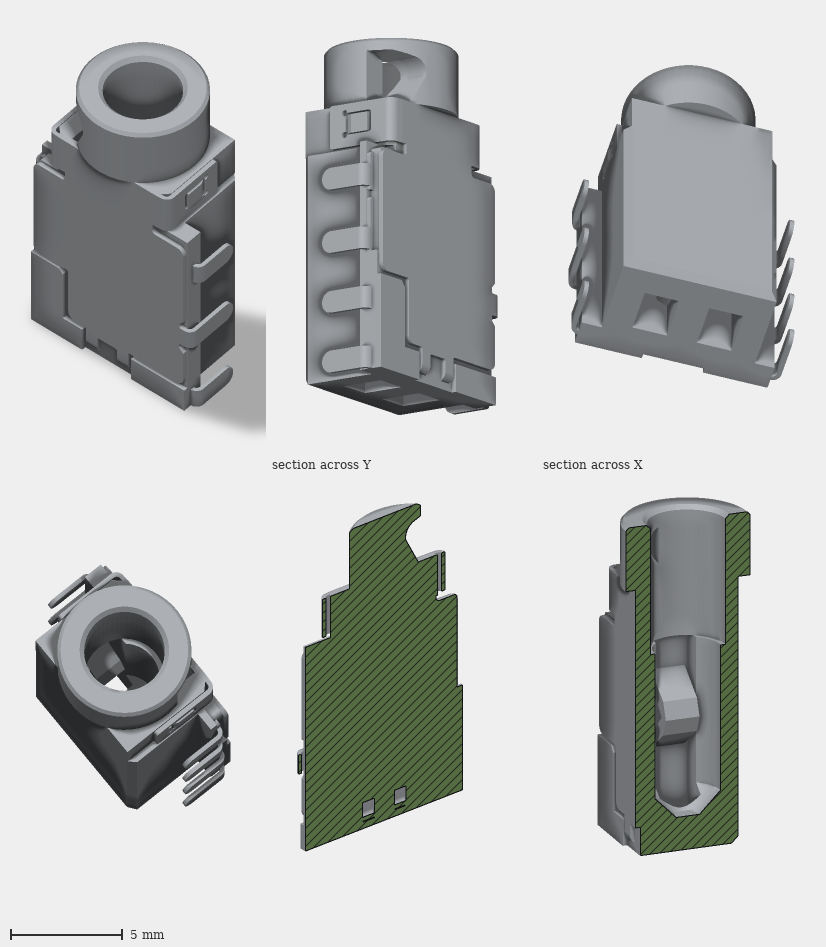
import cadquery as cq

TOTAL_HEIGHT = 15.65
COLLAR_RADIUS = 3.0
COLLAR_BASE = 12.62
COLLAR_CHAMFER = 0.15

HOUSING_X = 0.06
FRONT_Y = -2.53
BACK_Y = 2.42
SHOULDER_Z = 10.5
BODY_HALF = 3.56
NECK_HALF = 3.27
BODY_CHAMFER = 0.32
FLANGE_HALF = 4.475
FLANGE_BACK_Y = -1.4
FLANGE_LEFT = HOUSING_X - FLANGE_HALF
FLANGE_RIGHT = HOUSING_X + FLANGE_HALF

SHEET = 0.22
FLOOR_Y = FRONT_Y + SHEET
OVERLAP = 0.2

SIDE_BLOCK_TOP = 4.3
SIDE_BLOCK_RIGHT = -2.55
SIDE_BLOCK_CHAMFER = 0.25
LOW_BLOCK_TOP = 1.28
GATE_LEFT = -1.42
GATE_RIGHT = 1.43

LEDGE_Y = -1.75
CONTACT_Y = -1.95
LEDGE_BOTTOM = 5.42
LEDGE_RIGHT = -4.12
LEDGE_TOP = 10.22
LEDGE_STEP_RIGHT = -2.92
LEDGE_CORNER = 0.2
CONTACT_EDGE = -4.4
CONTACT_SPANS = [(LEDGE_BOTTOM, 7.94), (8.24, 10.0)]

PLATE_LEFT = -4.26
PLATE_RIGHT = 4.48
PLATE_TOP = 10.1
PLATE_STEP_Z = 4.5
PLATE_STEP_X = -2.23
PLATE_BOTTOM = 1.55
PLATE_CORNER = 0.38
SMALL_CORNER = 0.1
FINGER_SPANS = [(-1.19, -0.56), (0.62, 1.25)]
FINGER_BOTTOM = 0.36
FINGER_BEND = 0.43
FINGER_GAP_TOP = 1.34
RELIEF_LEFT = -2.42
RELIEF_RIGHT = 2.65
RELIEF_CORNER = 0.2

WING_BOTTOM = 10.63
WING_HALF = 3.52
WING_BACK_Y = 0.92
WING_FLAT_HALF = 2.79
WING_SETBACK = 0.05
WING_BEND = 0.42
WING_CORNER = 0.12
NECK_CORNER = 0.32
WINDOW_BACK_Y, WINDOW_FRONT_Y = 0.07, -1.33
WINDOW_BOTTOM, WINDOW_TOP = 11.2, 12.2
WINDOW_EAR_RADIUS = 0.14
WINDOW_EAR_Y = 0.12
LUG_BACK_Y, LUG_FRONT_Y = -0.02, -1.15
LUG_BOTTOM, LUG_TOP = 11.24, 12.1
LUG_HALF = 3.58
LUG_RAMP = 0.26
LUG_RAMP_DROP = 0.1

TERMINAL_HALF = 4.875
TERMINAL_WIDTH = 1.0
TERMINAL_THICKNESS = 0.2
TERMINAL_END_Y = 0.4
TERMINAL_END_RADIUS = 0.49
TERMINAL_BEND = 0.4
LOW_CONTACT_Y = -2.07
LEFT_TERMINALS = [(8.4, CONTACT_Y), (5.49, CONTACT_Y), (2.74, LOW_CONTACT_Y), (0, LOW_CONTACT_Y)]
SHELL_TERMINAL_Z = 4.09
RIGHT_TERMINALS = [(7.78, CONTACT_Y), (SHELL_TERMINAL_Z, FRONT_Y), (0, LOW_CONTACT_Y)]
NOTCH_DEPTH = 0.25
NOTCH_HEIGHT = 0.5

MOUTH_RADIUS = 2.0
MOUTH_CHAMFER = 0.2
BORE_RADIUS = MOUTH_RADIUS - MOUTH_CHAMFER
INNER_RADIUS = 1.57
TIP_RADIUS = 0.57
BORE_STEP_Z = 9.5
CONE_TOP = 2.6
CONE_BOTTOM = 1.6

SLOT_FRONT_Y, SLOT_BACK_Y = -1.03, 0.94
SLOT_INNER = 0.7
SLOT_OUTER = 2.3
SPRING_BOTTOM, SPRING_CREST, SPRING_TOP = 4.0, 6.0, 8.0
SPRING_SHEET = 0.2
SPRING_NOSE = 0.8
SPRING_BREAK = 0.32
SPRINGS = [(-1, 0.51, -0.82, 0.8), (1, 0.86, -0.72, 0.65)]

CUT_BACK_Y = -0.7
CUT_BOTTOM_X = -1.9
CUT_DEEP_X = -1.2
CUT_KNEE_Z = 13.98
CUT_ARC_MID = (-1.27, 14.45)
CUT_ARC_END = (-1.6, 14.78)
CUT_TOP = 15.07
CUT_TOP_X = -2.42
GAP_LEFT = -2.28
GAP_FRONT_Y = -2.2


def box(x0, x1, y0, y1, z0, z1):
    return cq.Workplane("XY").box(x1 - x0, y1 - y0, z1 - z0, centered=False).translate((x0, y0, z0))


def front_sheet(sketch, y_front, y_back):
    """Extrude an X-Z outline between two Y levels."""
    return sketch.extrude(y_back - y_front).translate((0, y_back, 0))


def front_outline(points):
    return cq.Workplane("XZ").polyline(points).close()


def round_at(solid, x, z, radius):
    """Round the edge running along Y at a given X and Z."""
    tolerance = 0.01
    low = (x - tolerance, FRONT_Y - 1, z - tolerance)
    high = (x + tolerance, BACK_Y + 1, z + tolerance)
    selector = cq.selectors.BoxSelector(low, high)
    return solid.edges(selector).fillet(radius)


def make_housing():
    body = box(HOUSING_X - BODY_HALF, HOUSING_X + BODY_HALF, FLOOR_Y, BACK_Y, 0, SHOULDER_Z)
    body = body.edges("|Z and >Y").chamfer(BODY_CHAMFER)
    body = body.edges("<Z and >Y").chamfer(BODY_CHAMFER)
    flange = box(FLANGE_LEFT, FLANGE_RIGHT, FRONT_Y, FLANGE_BACK_Y, 0, SHOULDER_Z)
    flange = flange.cut(make_recess()).cut(make_ledge())
    neck = box(HOUSING_X - NECK_HALF, HOUSING_X + NECK_HALF, FLOOR_Y, BACK_Y, SHOULDER_Z, COLLAR_BASE)
    neck = neck.edges("|Z and <Y").chamfer(NECK_CORNER)
    collar = cq.Workplane("XY").workplane(offset=COLLAR_BASE).circle(COLLAR_RADIUS)
    collar = collar.extrude(TOTAL_HEIGHT - COLLAR_BASE).faces(">Z").chamfer(COLLAR_CHAMFER)
    collar = collar.cut(make_collar_window())
    lower = body.cut(make_ledge()).union(flange).union(neck)
    return lower.cut(make_neck_gap()).union(collar)


def make_recess():
    """Shallow recess for the shell: the whole front except the raised blocks."""
    points = [
        (FLANGE_LEFT, SHOULDER_Z),
        (FLANGE_LEFT, SIDE_BLOCK_TOP),
        (SIDE_BLOCK_RIGHT - SIDE_BLOCK_CHAMFER, SIDE_BLOCK_TOP),
        (SIDE_BLOCK_RIGHT, SIDE_BLOCK_TOP - SIDE_BLOCK_CHAMFER),
        (SIDE_BLOCK_RIGHT, LOW_BLOCK_TOP),
        (GATE_LEFT, LOW_BLOCK_TOP),
        (GATE_LEFT, 0),
        (GATE_RIGHT, 0),
        (GATE_RIGHT, LOW_BLOCK_TOP),
        (FLANGE_RIGHT, LOW_BLOCK_TOP),
        (FLANGE_RIGHT, SHOULDER_Z),
    ]
    return front_sheet(front_outline(points), FRONT_Y, FLOOR_Y)


def make_ledge():
    """Space in front of the contact feet, along the left edge and over the left shoulder."""
    points = [
        (FLANGE_LEFT, LEDGE_BOTTOM),
        (LEDGE_RIGHT, LEDGE_BOTTOM),
        (LEDGE_RIGHT, LEDGE_TOP),
        (LEDGE_STEP_RIGHT, LEDGE_TOP),
        (LEDGE_STEP_RIGHT, SHOULDER_Z),
        (FLANGE_LEFT, SHOULDER_Z),
    ]
    ledge = front_sheet(front_outline(points), FRONT_Y, LEDGE_Y)
    for x in (LEDGE_RIGHT, LEDGE_STEP_RIGHT):
        ledge = round_at(ledge, x, LEDGE_TOP, LEDGE_CORNER)
    return ledge


def make_contact_strip(bottom, top):
    """Edge of a contact sheet lying on the ledge."""
    strip = box(CONTACT_EDGE, LEDGE_STEP_RIGHT, CONTACT_Y, LEDGE_Y, bottom, top)
    return strip.edges("|Y and <X and >Z").fillet(LEDGE_CORNER)


def make_collar_window():
    sketch = (
        cq.Workplane("XZ")
        .moveTo(-COLLAR_RADIUS, COLLAR_BASE)
        .lineTo(CUT_BOTTOM_X, COLLAR_BASE)
        .lineTo(CUT_DEEP_X, CUT_KNEE_Z)
        .threePointArc(CUT_ARC_MID, CUT_ARC_END)
        .lineTo(CUT_TOP_X, CUT_TOP)
        .lineTo(-COLLAR_RADIUS, CUT_TOP)
        .close()
    )
    return front_sheet(sketch, -COLLAR_RADIUS, CUT_BACK_Y)


def make_neck_gap():
    slope = (CUT_KNEE_Z - COLLAR_BASE) / (CUT_DEEP_X - CUT_BOTTOM_X)
    gap_bottom = COLLAR_BASE - slope * (CUT_BOTTOM_X - GAP_LEFT)
    points = [(CUT_BOTTOM_X, COLLAR_BASE), (GAP_LEFT, COLLAR_BASE), (GAP_LEFT, gap_bottom)]
    return front_sheet(front_outline(points), GAP_FRONT_Y, CUT_BACK_Y)


def make_plate():
    (finger_a, finger_b), (finger_c, finger_d) = FINGER_SPANS
    points = [
        (RELIEF_LEFT, COLLAR_BASE),
        (RELIEF_LEFT, PLATE_TOP),
        (PLATE_LEFT, PLATE_TOP),
        (PLATE_LEFT, PLATE_STEP_Z),
        (PLATE_STEP_X, PLATE_STEP_Z),
        (PLATE_STEP_X, PLATE_BOTTOM),
        (finger_a, PLATE_BOTTOM),
        (finger_a, FINGER_BOTTOM),
        (finger_b, FINGER_BOTTOM),
        (finger_b, FINGER_GAP_TOP),
        (finger_c, FINGER_GAP_TOP),
        (finger_c, FINGER_BOTTOM),
        (finger_d, FINGER_BOTTOM),
        (finger_d, PLATE_BOTTOM),
        (PLATE_RIGHT, PLATE_BOTTOM),
        (PLATE_RIGHT, PLATE_TOP),
        (RELIEF_RIGHT, PLATE_TOP),
        (RELIEF_RIGHT, COLLAR_BASE),
    ]
    plate = front_sheet(front_outline(points), FRONT_Y, FLOOR_Y)
    large = [(PLATE_LEFT, PLATE_TOP), (PLATE_LEFT, PLATE_STEP_Z), (PLATE_STEP_X, PLATE_BOTTOM),
             (PLATE_RIGHT, PLATE_BOTTOM), (PLATE_RIGHT, PLATE_TOP)]
    small = [(PLATE_STEP_X, PLATE_STEP_Z), (finger_a, PLATE_BOTTOM), (finger_b, FINGER_GAP_TOP),
             (finger_c, FINGER_GAP_TOP), (finger_d, PLATE_BOTTOM)]
    for x, z in large:
        plate = round_at(plate, x, z, PLATE_CORNER)
    for x, z in small:
        plate = round_at(plate, x, z, SMALL_CORNER)
    for x in (RELIEF_LEFT, RELIEF_RIGHT):
        plate = round_at(plate, x, PLATE_TOP, RELIEF_CORNER)
    for finger in FINGER_SPANS:
        plate = bend_finger(plate, *finger)
    for bottom in (SHELL_TERMINAL_Z + TERMINAL_WIDTH, SHELL_TERMINAL_Z - NOTCH_HEIGHT):
        plate = plate.cut(make_notch(bottom))
    return plate


def make_notch(bottom):
    """Bend relief beside the shell terminal: straight next to it, sloping away from it."""
    top = bottom + NOTCH_HEIGHT
    inner = PLATE_RIGHT - NOTCH_DEPTH
    straight, sloped = (bottom, top) if bottom > SHELL_TERMINAL_Z else (top, bottom)
    middle = (straight + sloped) / 2
    points = [(PLATE_RIGHT, straight), (inner, straight), (inner, middle), (PLATE_RIGHT, sloped)]
    notch = front_sheet(front_outline(points), FRONT_Y, FLOOR_Y)
    return round_at(notch, inner, straight, SMALL_CORNER)


def make_finger_pocket(x0, x1):
    """Pocket in the housing into which a finger of the plate bends."""
    return box(x0, x1, FLOOR_Y, FRONT_Y + FINGER_BEND, FINGER_BOTTOM, FINGER_GAP_TOP)


def bend_finger(plate, x0, x1):
    """Replace the straight end of a plate finger by a quarter bend into its pocket."""
    reach = FINGER_BEND + OVERLAP
    end = box(x0, x1, FRONT_Y, FRONT_Y + reach, FINGER_BOTTOM, FINGER_BOTTOM + reach)
    inside = end.translate((0, SHEET, SHEET)).edges("|X and <Y and <Z").fillet(FINGER_BEND - SHEET)
    bend = end.edges("|X and <Y and <Z").fillet(FINGER_BEND).cut(inside)
    return plate.cut(end).union(bend)


def make_wings():
    """U-shaped band of the shell round the neck, with a latch window in each side."""
    left = HOUSING_X - WING_HALF
    right = HOUSING_X + WING_HALF
    corner_y = FRONT_Y + WING_SETBACK
    points = [
        (left, WING_BACK_Y),
        (left, corner_y),
        (HOUSING_X - WING_FLAT_HALF, FRONT_Y),
        (HOUSING_X + WING_FLAT_HALF, FRONT_Y),
        (right, corner_y),
        (right, WING_BACK_Y),
    ]
    outer = cq.Workplane("XY").polyline(points).close().extrude(COLLAR_BASE - WING_BOTTOM)
    outer = outer.translate((0, 0, WING_BOTTOM))
    for x in (left, right):
        corner = cq.selectors.NearestToPointSelector((x, corner_y, (WING_BOTTOM + COLLAR_BASE) / 2))
        outer = outer.edges(corner).fillet(WING_BEND)
    outer = outer.edges("|X and >Y").fillet(WING_CORNER)
    inner = box(left + SHEET, right - SHEET, FLOOR_Y, WING_BACK_Y, WING_BOTTOM, COLLAR_BASE)
    inner = inner.edges("|Z and <Y").fillet(WING_BEND - SHEET)
    window = box(left, right, WINDOW_FRONT_Y, WINDOW_BACK_Y, WINDOW_BOTTOM, WINDOW_TOP)
    window = window.edges("|X").fillet(WINDOW_EAR_RADIUS)
    for z in (WINDOW_BOTTOM, WINDOW_TOP):
        ear = cq.Workplane("YZ").center(WINDOW_EAR_Y, z).circle(WINDOW_EAR_RADIUS)
        window = window.union(ear.extrude(2 * WING_HALF).translate((left, 0, 0)))
    return outer.cut(inner).cut(window)


def make_lugs():
    """Latch lugs on both sides of the neck, ramped toward the back."""
    lugs = box(HOUSING_X - LUG_HALF, HOUSING_X + LUG_HALF, LUG_FRONT_Y, LUG_BACK_Y, LUG_BOTTOM, LUG_TOP)
    core = NECK_HALF - OVERLAP
    lugs = lugs.cut(box(HOUSING_X - core, HOUSING_X + core, LUG_FRONT_Y, LUG_BACK_Y, LUG_BOTTOM, LUG_TOP))
    for side in (-1, 1):
        face = HOUSING_X + side * LUG_HALF
        low = face - side * LUG_RAMP_DROP
        ramp = [(face, LUG_BACK_Y - LUG_RAMP), (face, LUG_BACK_Y), (low, LUG_BACK_Y)]
        lugs = lugs.cut(cq.Workplane("XY").polyline(ramp).close().extrude(COLLAR_BASE))
    return lugs


def make_terminal(side, bottom, foot_y):
    """L-shaped terminal; side is -1 for the left edge and 1 for the right edge."""
    outer = HOUSING_X + side * TERMINAL_HALF
    inner = outer - side * TERMINAL_THICKNESS
    root = HOUSING_X + side * (FLANGE_HALF - OVERLAP)
    foot_back = foot_y + TERMINAL_THICKNESS
    profile = [
        (root, foot_y),
        (outer, foot_y),
        (outer, TERMINAL_END_Y),
        (inner, TERMINAL_END_Y),
        (inner, foot_back),
        (root, foot_back),
    ]
    strip = cq.Workplane("XY").polyline(profile).close().extrude(TERMINAL_WIDTH)
    outside = ">X" if side > 0 else "<X"
    strip = strip.edges(f"|Z and {outside} and <Y").fillet(TERMINAL_BEND)
    inside = cq.selectors.NearestToPointSelector((inner, foot_back, TERMINAL_WIDTH / 2))
    strip = strip.edges(inside).fillet(TERMINAL_BEND - TERMINAL_THICKNESS)
    strip = strip.edges("|X and >Y").fillet(TERMINAL_END_RADIUS)
    return strip.translate((0, 0, bottom))


def make_bore():
    mouth_z = TOTAL_HEIGHT - MOUTH_CHAMFER
    points = [
        (0, TOTAL_HEIGHT),
        (MOUTH_RADIUS, TOTAL_HEIGHT),
        (BORE_RADIUS, mouth_z),
        (BORE_RADIUS, BORE_STEP_Z),
        (INNER_RADIUS, BORE_STEP_Z),
        (INNER_RADIUS, CONE_TOP),
        (TIP_RADIUS, CONE_BOTTOM),
        (0, CONE_BOTTOM),
    ]
    return cq.Workplane("XZ").polyline(points).close().revolve(360, (0, 0, 0), (0, 1, 0))


def make_slot(side):
    x0, x1 = sorted((side * SLOT_INNER, side * SLOT_OUTER))
    return box(x0, x1, SLOT_FRONT_Y, SLOT_BACK_Y, 0, BORE_STEP_Z)


def make_spring(side, crest, y_front, y_back):
    """V-shaped leaf spring standing on the outer wall of its slot."""
    root = SLOT_OUTER + OVERLAP
    points = [
        (side * root, SPRING_BOTTOM),
        (side * (crest + SPRING_BREAK), SPRING_CREST - SPRING_NOSE),
        (side * crest, SPRING_CREST),
        (side * (crest + SPRING_BREAK), SPRING_CREST + SPRING_NOSE),
        (side * root, SPRING_TOP),
        (side * root, SPRING_TOP - 2 * SPRING_SHEET),
        (side * (crest + SPRING_BREAK + SPRING_SHEET), SPRING_CREST),
        (side * root, SPRING_BOTTOM + 2 * SPRING_SHEET),
    ]
    return front_sheet(front_outline(points), y_front, y_back)


housing = make_housing().cut(make_bore())
for slot_side in (-1, 1):
    housing = housing.cut(make_slot(slot_side))
for finger in FINGER_SPANS:
    housing = housing.cut(make_finger_pocket(*finger))

result = housing.union(make_plate()).union(make_wings()).union(make_lugs())
for terminal in LEFT_TERMINALS:
    result = result.union(make_terminal(-1, *terminal))
for terminal in RIGHT_TERMINALS:
    result = result.union(make_terminal(1, *terminal))
for contact in CONTACT_SPANS:
    result = result.union(make_contact_strip(*contact))
for spring in SPRINGS:
    result = result.union(make_spring(*spring))